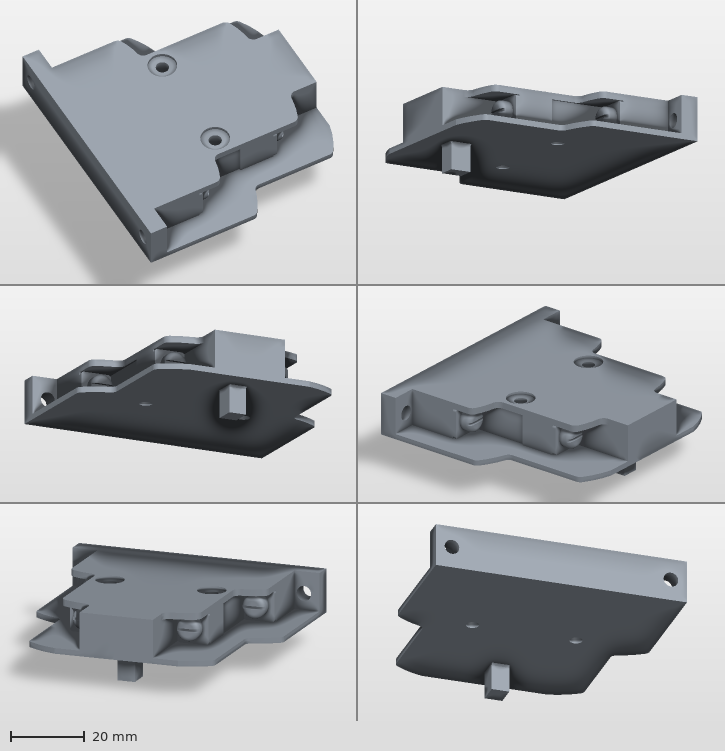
import cadquery as cq

WIDTH = 72.0
LENGTH = 65.5
HEIGHT = 12.4
FLOOR_THICKNESS = 1.6
ROOF_THICKNESS = 1.9
FLANGE_THICKNESS = 5.05
POCKET_HEIGHT = HEIGHT - FLOOR_THICKNESS - ROOF_THICKNESS
POCKET_MID_Z = FLOOR_THICKNESS + POCKET_HEIGHT / 2

FLOOR_UPPER_HALF_WIDTH = 27.0
FLOOR_BACK_HALF_WIDTH = 18.0
FLOOR_LOWER_SHOULDER_Y = 32.8
FLOOR_UPPER_SHOULDER_Y = 61.5
FLOOR_STEP_Y = 37.15
FLOOR_CORNER_RADIUS = 1.8

BLOCK_LOWER_HALF_WIDTH = 28.65
BLOCK_MIDDLE_HALF_WIDTH = 20.15
BLOCK_BACK_HALF_WIDTH = 10.65
BLOCK_LOWER_SHOULDER_Y = 25.55
BLOCK_LOWER_STEP_Y = 27.9
BLOCK_UPPER_SHOULDER_Y = 54.5
BLOCK_UPPER_STEP_Y = 56.9
BLOCK_CORNER_RADIUS = 2.0

SHOULDER_BOW = 0.5

FRONT_POCKET_HALF_WIDTH = 19.6
FRONT_POCKET_Y = 19.1
FRONT_POCKET_END_Y = 36.6
BACK_POCKET_Y = 46.9

FLANGE_HOLE_DIAMETER = 4.2
FLANGE_HOLE_X = 31.4
FLANGE_HOLE_Z = HEIGHT / 2
SCREW_HOLE_DIAMETER = 3.6
SCREW_HOLE_X = 14.8
SCREW_HOLE_Y = 31.7
COUNTERBORE_DIAMETER = 8.1
COUNTERBORE_DEPTH = 0.9

KEY_WIDTH = 5.05
KEY_LENGTH = 6.0
KEY_DEPTH = 7.9
KEY_FRONT_Y = 52.0
KEY_FLARE = 0.3
KEY_FLARE_HEIGHT = 0.7

PLATE_SIZE = POCKET_HEIGHT
PLATE_THICKNESS = 1.1
PLATE_CORNER_RADIUS = 0.8
HEAD_DIAMETER = 6.7
HEAD_LENGTH = 3.5
HEAD_INSET = 0.6
HEAD_Z = HEIGHT / 2
HEAD_ROUNDING = 1.45
SLOT_WIDTH = 0.9
SLOT_DEPTH = 0.9


def box(x_min, x_max, y_min, y_max, z_min, z_max):
    size = (x_max - x_min, y_max - y_min, z_max - z_min)
    return cq.Workplane("XY").box(*size, centered=False).translate((x_min, y_min, z_min))


def bowed_point(start, end):
    """Point beside the middle of the chord, to its right when going from start to end."""
    run = cq.Vector(end[0] - start[0], end[1] - start[1])
    middle = cq.Vector(start[0] + end[0], start[1] + end[1]) / 2
    outward = cq.Vector(run.y, -run.x).normalized() * SHOULDER_BOW
    point = middle + outward
    return (point.x, point.y)


def rounded_corners(solid, points, radius):
    """Fillet the upright edges that stand on the given points, on both sides of X = 0."""
    for x, y in points:
        for side in (-1, 1):
            corner = (side * x, y, HEIGHT / 2)
            solid = solid.edges("|Z").edges(cq.selectors.NearestToPointSelector(corner)).fillet(radius)
    return solid


def stepped_slab(half_outline, arc_ends, corners, radius, z_min, z_max):
    """Extrude a half outline, mirror it in X = 0 and round its corners.

    Points listed in arc_ends are reached by a bowed arc, the others by a straight line.
    """
    sketch = cq.Workplane("XY").workplane(offset=z_min).moveTo(0, half_outline[0][1])
    start = (0, half_outline[0][1])
    for point in half_outline:
        if point in arc_ends:
            sketch = sketch.threePointArc(bowed_point(start, point), point)
        else:
            sketch = sketch.lineTo(*point)
        start = point
    half = sketch.lineTo(0, half_outline[-1][1]).close().extrude(z_max - z_min)
    slab = half.union(half.mirror("YZ"))
    return rounded_corners(slab, corners, radius)


def make_floor():
    lower_shoulder = (WIDTH / 2, FLOOR_LOWER_SHOULDER_Y)
    step = (FLOOR_UPPER_HALF_WIDTH, FLOOR_STEP_Y)
    upper_shoulder = (FLOOR_UPPER_HALF_WIDTH, FLOOR_UPPER_SHOULDER_Y)
    back = (FLOOR_BACK_HALF_WIDTH, LENGTH)
    return stepped_slab(
        [(WIDTH / 2, 0), lower_shoulder, step, upper_shoulder, back],
        [step, back],
        [lower_shoulder, step, upper_shoulder],
        FLOOR_CORNER_RADIUS,
        0,
        FLOOR_THICKNESS,
    )


def make_block():
    lower_shoulder = (BLOCK_LOWER_HALF_WIDTH, BLOCK_LOWER_SHOULDER_Y)
    lower_step = (BLOCK_MIDDLE_HALF_WIDTH, BLOCK_LOWER_STEP_Y)
    upper_shoulder = (BLOCK_MIDDLE_HALF_WIDTH, BLOCK_UPPER_SHOULDER_Y)
    upper_step = (BLOCK_BACK_HALF_WIDTH, BLOCK_UPPER_STEP_Y)
    return stepped_slab(
        [
            (BLOCK_LOWER_HALF_WIDTH, 0),
            lower_shoulder,
            lower_step,
            upper_shoulder,
            upper_step,
            (BLOCK_BACK_HALF_WIDTH, LENGTH),
        ],
        [lower_step, upper_step],
        [lower_shoulder, lower_step, upper_shoulder, upper_step],
        BLOCK_CORNER_RADIUS,
        0,
        HEIGHT,
    )


def make_pockets(side):
    """Front and back terminal pockets on one side, open to the outside in X."""
    roof_z = FLOOR_THICKNESS + POCKET_HEIGHT
    inner_walls = [
        (FRONT_POCKET_HALF_WIDTH, FRONT_POCKET_Y, FRONT_POCKET_END_Y),
        (BLOCK_BACK_HALF_WIDTH, BACK_POCKET_Y, LENGTH),
    ]
    pockets = cq.Workplane("XY")
    for inner_x, y_min, y_max in inner_walls:
        near, far = sorted((side * inner_x, side * WIDTH / 2))
        pockets = pockets.add(box(near, far, y_min, y_max, FLOOR_THICKNESS, roof_z))
    return pockets.combine()


def make_key():
    """Rectangular key whose front and back faces flare out where they meet the floor."""
    back_y = KEY_FRONT_Y + KEY_LENGTH
    profile = [
        (KEY_FRONT_Y, -KEY_DEPTH),
        (back_y, -KEY_DEPTH),
        (back_y, -KEY_FLARE_HEIGHT),
        (back_y + KEY_FLARE, 0),
        (KEY_FRONT_Y - KEY_FLARE, 0),
        (KEY_FRONT_Y, -KEY_FLARE_HEIGHT),
    ]
    return cq.Workplane("YZ").polyline(profile).close().extrude(KEY_WIDTH / 2, both=True)


def make_housing():
    flange = box(-WIDTH / 2, WIDTH / 2, 0, FLANGE_THICKNESS, 0, HEIGHT)
    body = make_block()
    for side in (-1, 1):
        body = body.cut(make_pockets(side))
    body = body.union(make_floor()).union(flange).union(make_key())

    flange_holes = (
        cq.Workplane("XZ")
        .pushPoints([(-FLANGE_HOLE_X, FLANGE_HOLE_Z), (FLANGE_HOLE_X, FLANGE_HOLE_Z)])
        .circle(FLANGE_HOLE_DIAMETER / 2)
        .extrude(-FLANGE_THICKNESS)
    )
    return (
        body.cut(flange_holes)
        .faces(">Z")
        .workplane(origin=(0, 0, HEIGHT))
        .pushPoints([(-SCREW_HOLE_X, SCREW_HOLE_Y), (SCREW_HOLE_X, SCREW_HOLE_Y)])
        .cboreHole(SCREW_HOLE_DIAMETER, COUNTERBORE_DIAMETER, COUNTERBORE_DEPTH)
    )


def make_terminal(side, outer_x, y):
    """Clamp plate reaching out to outer_x with its front face at y, and a slotted screw head behind it."""
    plate_x = side * (outer_x - PLATE_SIZE / 2)
    head_x = plate_x - side * HEAD_INSET
    head_y = y + PLATE_THICKNESS
    head_end = head_y + HEAD_LENGTH
    plate = (
        cq.Workplane("XZ", origin=(plate_x, y, POCKET_MID_Z))
        .rect(PLATE_SIZE, PLATE_SIZE)
        .extrude(-PLATE_THICKNESS)
        .edges("|Y")
        .fillet(PLATE_CORNER_RADIUS)
    )
    head = (
        cq.Workplane("XZ", origin=(head_x, head_y, HEAD_Z))
        .circle(HEAD_DIAMETER / 2)
        .extrude(-HEAD_LENGTH)
        .faces(">Y")
        .edges()
        .fillet(HEAD_ROUNDING)
    )
    slot = box(
        head_x - HEAD_DIAMETER / 2,
        head_x + HEAD_DIAMETER / 2,
        head_end - SLOT_DEPTH,
        head_end,
        HEAD_Z - SLOT_WIDTH / 2,
        HEAD_Z + SLOT_WIDTH / 2,
    )
    return plate.union(head).cut(slot)


housing = make_housing()

terminal_places = [(BLOCK_LOWER_HALF_WIDTH, FRONT_POCKET_Y), (BLOCK_MIDDLE_HALF_WIDTH, BACK_POCKET_Y)]
terminals = []
for side in (-1, 1):
    for outer_x, y in terminal_places:
        terminals.append(make_terminal(side, outer_x, y).val())

result = cq.Compound.makeCompound([housing.val(), *terminals])